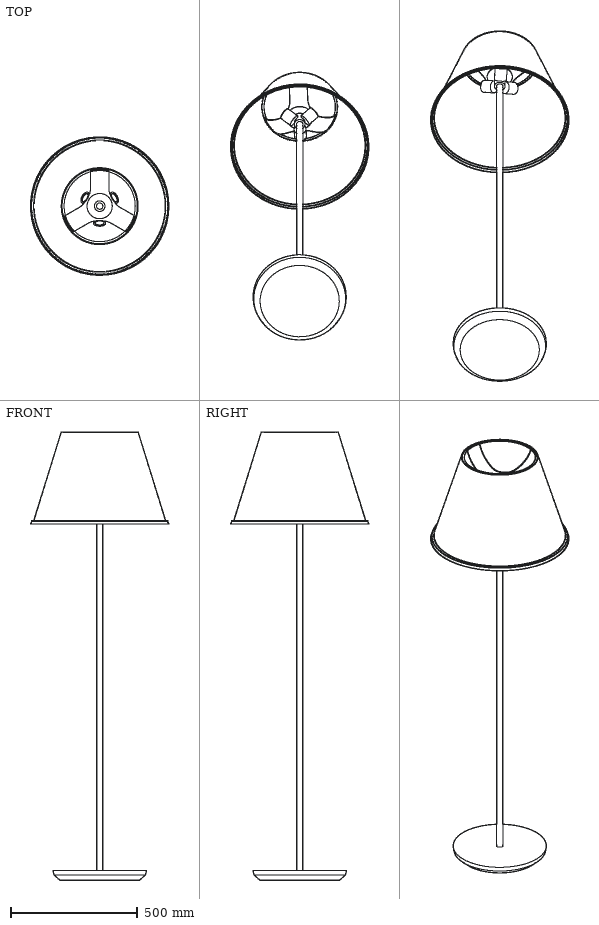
import cadquery as cq
import math

total_height = 1778.93

base_radius = 185.0
base_height = 40.0
base_lip_height = 4.0
base_flank_radius = 182.0
base_bevel_height = 22.0
base_foot_radius = 157.0

pole_radius = 12.5
pole_socket_depth = base_height / 2

facet_count = 90
facet_angle = 360.0 / facet_count
first_facet_corner = -90.0
shade_height = 366.0
shade_wall = 3.0
shade_top_radius = 152.5
shade_skirt_radius = 262.0
ring_height = 14.0
ring_lip_height = 4.0
ring_top_radius = 270.0
ring_bottom_radius = 549.55 / 2
shade_bottom_z = total_height - shade_height
ring_top_z = shade_bottom_z + ring_height

rim_inner_radius = 141.0
rim_outer_radius = 149.0
rim_thickness = 3.0
rim_underside_z = total_height - rim_thickness
arm_count = 3
first_arm_angle = 90.0
arm_width = 72.0
arm_rise = 97.0
arm_sagitta = 17.0
spider_thickness = 3.0
hub_radius = 50.0
web_radius = 59.0
web_fillet = 70.0
collar_radius = 21.0
collar_height = 5.0
hub_top_z = rim_underside_z - arm_rise
arm_end_radius = 145.0
pole_top_z = hub_top_z + collar_height

carrier_radius = collar_radius
carrier_height = 60.0
holder_radius = 24.0
holder_bore_radius = 18.0
holder_length = 50.0
holder_bore_depth = 3.0
holder_tilt = 60.0
holder_mouth_distance = 68.0
holder_mouth_drop = 26.0


def disc(radius, bottom_z, height):
    return cq.Workplane("XY").workplane(offset=bottom_z).circle(radius).extrude(height)


def faceted_frustum(bottom_radius, bottom_z, top_radius, top_z):
    """Solid tapered prism with one flat face per shade facet."""
    def corners(radius):
        angles = [math.radians(first_facet_corner + i * facet_angle) for i in range(facet_count)]
        return [(radius * math.cos(a), radius * math.sin(a)) for a in angles]

    return (
        cq.Workplane("XY")
        .workplane(offset=bottom_z)
        .polyline(corners(bottom_radius))
        .close()
        .workplane(offset=top_z - bottom_z)
        .polyline(corners(top_radius))
        .close()
        .loft(ruled=True)
    )


def make_base():
    profile = [
        (0, 0),
        (base_foot_radius, 0),
        (base_flank_radius, base_bevel_height),
        (base_radius, base_height - base_lip_height),
        (base_radius, base_height),
        (0, base_height),
    ]
    body = cq.Workplane("XZ").polyline(profile).close().revolve(360, (0, 0), (0, 1))
    socket = disc(pole_radius, base_height - pole_socket_depth, pole_socket_depth)
    return body.cut(socket)


def make_pole():
    foot_z = base_height - pole_socket_depth
    return disc(pole_radius, foot_z, pole_top_z - foot_z)


def make_shade():
    outside = faceted_frustum(shade_skirt_radius, ring_top_z, shade_top_radius, total_height)
    inside = faceted_frustum(
        shade_skirt_radius - shade_wall, ring_top_z, shade_top_radius - shade_wall, rim_underside_z
    )
    opening = disc(rim_outer_radius, rim_underside_z, rim_thickness)
    ring_profile = [
        (shade_skirt_radius - shade_wall, ring_top_z),
        (ring_top_radius, ring_top_z),
        (ring_top_radius, ring_top_z - ring_lip_height),
        (ring_bottom_radius, shade_bottom_z),
        (ring_bottom_radius - shade_wall, shade_bottom_z),
        (ring_top_radius - shade_wall, ring_top_z - ring_lip_height),
        (shade_skirt_radius - shade_wall, ring_top_z - ring_lip_height),
    ]
    ring = cq.Workplane("XZ").polyline(ring_profile).close().revolve(360, (0, 0), (0, 1))
    return outside.cut(inside).cut(opening).union(ring)


def make_bowl():
    """Thin bowl of revolution from which the hub and arms are taken."""
    chord = math.hypot(arm_end_radius - hub_radius, arm_rise)
    middle_r = (hub_radius + arm_end_radius) / 2 + arm_sagitta * arm_rise / chord
    middle_z = (hub_top_z + rim_underside_z) / 2 - arm_sagitta * (arm_end_radius - hub_radius) / chord
    return (
        cq.Workplane("XZ")
        .moveTo(0, hub_top_z)
        .lineTo(hub_radius, hub_top_z)
        .threePointArc((middle_r, middle_z), (arm_end_radius, rim_underside_z))
        .lineTo(arm_end_radius + spider_thickness, rim_underside_z)
        .threePointArc(
            (middle_r + spider_thickness, middle_z - spider_thickness),
            (hub_radius, hub_top_z - spider_thickness),
        )
        .lineTo(0, hub_top_z - spider_thickness)
        .close()
        .revolve(360, (0, 0), (0, 1))
    )


def make_lamp_holder():
    """Tilted cup on the +X side, with its mouth facing up and outward."""
    tilt = math.radians(holder_tilt)
    plane = cq.Plane(
        origin=(holder_mouth_distance, 0, hub_top_z - holder_mouth_drop),
        xDir=(0, 1, 0),
        normal=(math.sin(tilt), 0, math.cos(tilt)),
    )
    cup = cq.Workplane(plane).circle(holder_radius).extrude(-holder_length)
    return cup.cut(cq.Workplane(plane).circle(holder_bore_radius).extrude(-holder_bore_depth))


def make_spider():
    stencil_z = hub_top_z - arm_rise
    stencil_height = 2 * arm_rise
    stencil = disc(web_radius, stencil_z, stencil_height)
    for i in range(arm_count):
        arm = (
            cq.Workplane("XY")
            .workplane(offset=stencil_z)
            .center(rim_outer_radius / 2, 0)
            .rect(rim_outer_radius, arm_width)
            .extrude(stencil_height)
        )
        stencil = stencil.union(arm.rotate((0, 0, 0), (0, 0, 1), first_arm_angle + i * 360 / arm_count))
    inner_corners = cq.selectors.BoxSelector(
        (-arm_width, -arm_width, stencil_z), (arm_width, arm_width, stencil_z + stencil_height)
    )
    stencil = stencil.edges("|Z").edges(inner_corners).fillet(web_fillet)
    rim = disc(rim_outer_radius, rim_underside_z, rim_thickness)
    rim = rim.cut(disc(rim_inner_radius, rim_underside_z, rim_thickness))
    spider = make_bowl().intersect(stencil).union(rim)
    spider = spider.union(disc(collar_radius, hub_top_z, collar_height))
    spider = spider.union(disc(carrier_radius, hub_top_z - carrier_height, carrier_height))
    for i in range(arm_count):
        angle = first_arm_angle + (i + 0.5) * 360 / arm_count
        spider = spider.union(make_lamp_holder().rotate((0, 0, 0), (0, 0, 1), angle))
    return spider.cut(disc(pole_radius, 0, total_height))


base = make_base()
pole = make_pole()
shade = make_shade()
spider = make_spider()

result = cq.Compound.makeCompound([body.solids().val() for body in (base, pole, shade, spider)])